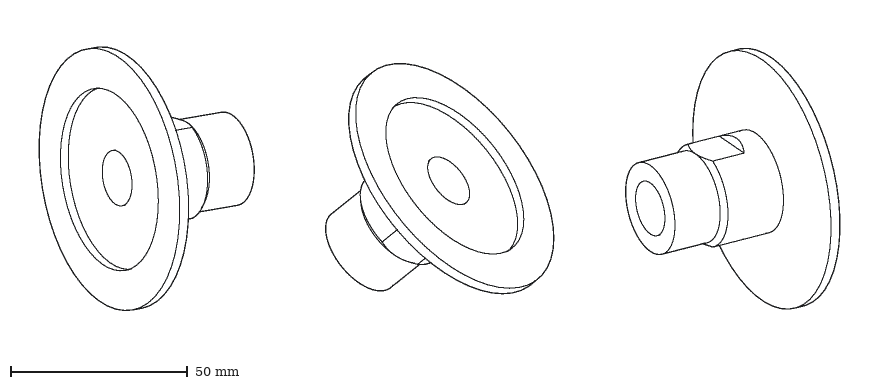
import cadquery as cq
import math

total_length = 40.0

flange_diameter = 75.0
flange_thickness = 5.0
rim_thickness = 3.0
cone_angle = 15.0

recess_diameter = 52.2
recess_depth = 2.6

hub_diameter = 30.0
hub_end = 25.0
tube_diameter = 26.8
bore_diameter = 15.9

flat_across = tube_diameter
flat_start = 13.0

hub_step = (hub_diameter - tube_diameter) / 2
cone_run = (flange_thickness - rim_thickness) / math.tan(math.radians(cone_angle))


def make_turned_body():
    """Revolve the outer half profile about the Y axis."""
    flange_radius = flange_diameter / 2
    hub_radius = hub_diameter / 2
    tube_radius = tube_diameter / 2
    profile = (
        cq.Workplane("XY")
        .lineTo(flange_radius, 0)
        .lineTo(flange_radius, rim_thickness)
        .lineTo(flange_radius - cone_run, flange_thickness)
        .lineTo(hub_radius, flange_thickness)
        .lineTo(hub_radius, hub_end - hub_step)
        .lineTo(tube_radius, hub_end)
        .lineTo(tube_radius, total_length)
        .lineTo(0, total_length)
        .close()
    )
    return profile.revolve(360, (0, 0, 0), (0, 1, 0))


def make_round_cut(diameter, depth):
    """Cylinder running along +Y from the flange face."""
    return cq.Workplane("XZ").circle(diameter / 2).extrude(-depth)


def make_flat_cut(side):
    """Wedge-ended cutter for one flat; its flange end slopes outward at 45 degrees."""
    inner = side * flat_across / 2
    outer = side * hub_diameter / 2
    return (
        cq.Workplane("YZ")
        .moveTo(flat_start, inner)
        .lineTo(hub_end, inner)
        .lineTo(hub_end, outer)
        .lineTo(flat_start - hub_step, outer)
        .close()
        .extrude(hub_diameter / 2, both=True)
    )


result = make_turned_body()
result = result.cut(make_round_cut(recess_diameter, recess_depth))
result = result.cut(make_round_cut(bore_diameter, total_length))
for side in (-1, 1):
    result = result.cut(make_flat_cut(side))